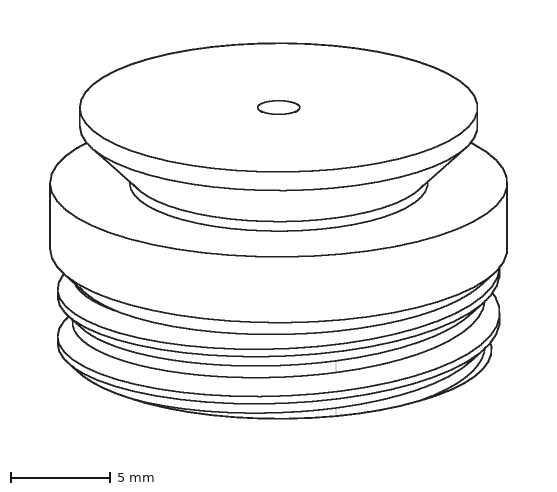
import cadquery as cq

total_height = 13.0
collar_diameter = 23.0
collar_bottom = 5.5
collar_top = 9.0
neck_diameter = 15.0
neck_top = 9.5
head_diameter = 20.0
head_rim_height = 1.0

root_diameter = 20.75
crest_diameter = 22.25
pitch = 2.5
crest_width = 0.4
crest_height_at_x_axis = 1.38
thread_turns = 2.75
root_overlap = 0.23

dimple_diameter = 2.12
dimple_depth = dimple_diameter / 2

root_radius = root_diameter / 2
crest_radius = crest_diameter / 2
collar_radius = collar_diameter / 2
neck_radius = neck_diameter / 2
head_radius = head_diameter / 2


def make_body():
    """Revolve the core, collar with its 45 degree underside, neck and flared head."""
    collar_bevel = collar_radius - root_radius
    profile = (
        cq.Workplane("XZ")
        .moveTo(0, 0)
        .lineTo(root_radius, 0)
        .lineTo(root_radius, collar_bottom - collar_bevel)
        .lineTo(collar_radius, collar_bottom)
        .lineTo(collar_radius, collar_top)
        .lineTo(neck_radius, collar_top)
        .lineTo(neck_radius, neck_top)
        .lineTo(head_radius, total_height - head_rim_height)
        .lineTo(head_radius, total_height)
        .lineTo(dimple_diameter / 2, total_height)
        .lineTo(0, total_height - dimple_depth)
        .close()
    )
    return profile.revolve(360, (0, 0, 0), (0, 1, 0))


def make_thread():
    """Sweep a 45 degree trapezoid along a helix and trim it at the bottom face."""
    inner_radius = root_radius - root_overlap
    half_crest = crest_width / 2
    half_base = half_crest + crest_radius - inner_radius
    start_height = crest_height_at_x_axis - pitch
    helix = cq.Wire.makeHelix(pitch, pitch * thread_turns, root_radius)
    ridge = (
        cq.Workplane("XZ")
        .polyline([
            (inner_radius, -half_base),
            (crest_radius, -half_crest),
            (crest_radius, half_crest),
            (inner_radius, half_base),
        ])
        .close()
        .sweep(cq.Workplane(helix), isFrenet=True)
        .translate((0, 0, start_height))
    )
    envelope = cq.Workplane("XY").circle(collar_radius).extrude(collar_top)
    return ridge.intersect(envelope)


result = make_body().union(make_thread())